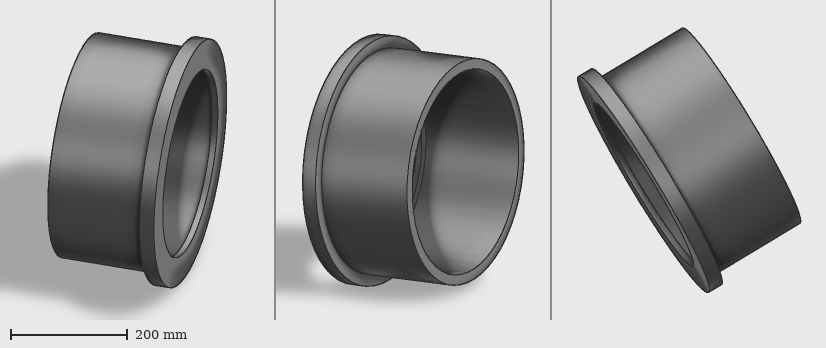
import cadquery as cq

total_length = 196.0
flange_diameter = 432.0
flange_thickness = 26.0
sleeve_diameter = 391.0
bore_diameter = 355.0
lip_diameter = 327.0
lip_thickness = 11.0

sleeve_length = total_length - flange_thickness
bore_depth = total_length - lip_thickness


def disc(diameter, start, length):
    """Solid cylinder along X, beginning at x = start."""
    return cq.Workplane("YZ", origin=(start, 0, 0)).circle(diameter / 2).extrude(length)


sleeve = disc(sleeve_diameter, 0, total_length)
flange = disc(flange_diameter, sleeve_length, flange_thickness)
bore = disc(bore_diameter, 0, bore_depth)
lip_opening = disc(lip_diameter, 0, total_length)

result = sleeve.union(flange).cut(bore).cut(lip_opening)